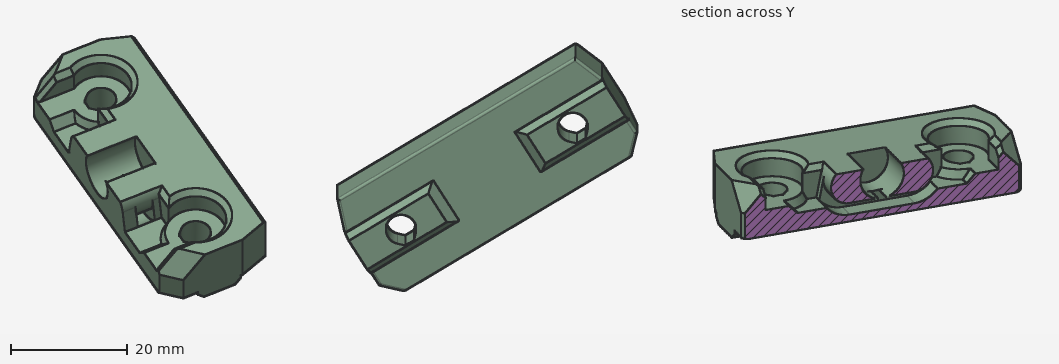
import cadquery as cq
import math

body_length = 52.0
body_width = 20.0
body_height = 9.4
half_length = body_length / 2
half_width = body_width / 2
back_corner_x = 2.0
back_corner_y = 5.5
front_corner = 3.0
back_top_chamfer = 0.5
underside_fillet = 0.5

step_height = 5.0
front_corner_at_top = 7.2

rail_drop = 1.4
rail_width = 8.4
rail_chamfer = 1.2
rail_inner_x = 8.2
rail_inner_x_at_bottom = 9.95

screw_x = 17.3
screw_radius = 2.6
screw_flat_distance = 2.8
bore_radius = 5.25
edge_chamfer = 1.0
bore_floor = step_height

slot_outer_x = 21.6
slot_chamfer_width = 1.15
slot_corner_chamfer = 0.92
pocket_back_y = -2.9

recess_floor = 3.4
recess_step = bore_floor - recess_floor
cone_spread = 0.75
recess_wall_x = 10.3
recess_wall_lean = math.radians(11.3)

groove_radius = 4.0
groove_axis_z = recess_floor + groove_radius
groove_end_y = -0.5

channel_width = 3.3
channel_center_y = -5.85
groove_window_half_width = 0.75
channel_roof = groove_axis_z - math.sqrt(groove_radius**2 - groove_window_half_width**2)
bend_radius = 3.5
bend_axis_z = channel_roof + bend_radius

tangent_z = bend_axis_z + bend_radius * math.sin(recess_wall_lean)
tangent_x = recess_wall_x - (tangent_z - recess_floor) * math.tan(recess_wall_lean)
bend_axis_x = tangent_x - bend_radius * math.cos(recess_wall_lean)

outer_bend_radius = math.hypot(recess_wall_x - bend_axis_x, bend_axis_z - recess_floor)
outer_bend_start = -math.atan2(bend_axis_z - recess_floor, recess_wall_x - bend_axis_x)
channel_floor = bend_axis_z - outer_bend_radius


def bend_point(angle, radius=bend_radius):
    """Point on the left bend, with the angle measured up from the -X direction."""
    x = -bend_axis_x - radius * math.cos(angle)
    z = bend_axis_z + radius * math.sin(angle)
    return x, z


def xz_prism(points, y_front, y_back):
    """Extrude an XZ polygon along Y between two Y positions."""
    profile = cq.Workplane("XZ", origin=(0, y_back, 0)).polyline(points).close()
    return profile.extrude(y_back - y_front)


def both_sides(shape):
    """The left shape together with its mirror image on the right."""
    return shape.union(shape.mirror("YZ"))


def make_body():
    """Block with cut corners, chamfered along the back and rounded underneath except in front."""
    outline = [
        (-half_length, half_width - back_corner_y),
        (-half_length + back_corner_x, half_width),
        (half_length - back_corner_x, half_width),
        (half_length, half_width - back_corner_y),
        (half_length, front_corner - half_width),
        (half_length - front_corner, -half_width),
        (front_corner - half_length, -half_width),
        (-half_length, front_corner - half_width),
    ]
    body = cq.Workplane("XY").polyline(outline).close().extrude(body_height)
    body = body.faces(">Y").edges(">Z").chamfer(back_top_chamfer)
    front_edge = body.faces("<Z").edges("<Y").val()
    rounded_edges = [edge for edge in body.faces("<Z").edges().vals() if not edge.isSame(front_edge)]
    return body.newObject(rounded_edges).fillet(underside_fillet)


def make_rail():
    """Left rail, reaching up into the body past the underside fillet."""
    half_rail = rail_width / 2
    section = [
        (-half_rail, underside_fillet),
        (-half_rail, rail_chamfer - rail_drop),
        (rail_chamfer - half_rail, -rail_drop),
        (half_rail - rail_chamfer, -rail_drop),
        (half_rail, rail_chamfer - rail_drop),
        (half_rail, underside_fillet),
    ]
    rail = (
        cq.Workplane("YZ", origin=(-half_length, 0, 0))
        .polyline(section).close().extrude(half_length)
    )
    side = [
        (-half_length, underside_fillet),
        (-rail_inner_x, underside_fillet),
        (-rail_inner_x, 0),
        (-rail_inner_x_at_bottom, -rail_drop),
        (-half_length, -rail_drop),
    ]
    return rail.intersect(xz_prism(side, -half_rail, half_rail))


def make_corner_slope():
    """Sloped cut on the front left corner, above the step height."""
    def corner_triangle(leg):
        return [
            (-half_length, -half_width),
            (leg - half_length, -half_width),
            (-half_length, leg - half_width),
        ]

    return (
        cq.Workplane("XY", origin=(0, 0, step_height))
        .polyline(corner_triangle(front_corner)).close()
        .workplane(offset=body_height - step_height)
        .polyline(corner_triangle(front_corner_at_top)).close()
        .loft(ruled=True)
    )


def make_screw_hole():
    """Left through hole: a teardrop towards the front face, cut flat before its tip."""
    tangent = screw_radius * math.sqrt(0.5)
    flat_half_width = screw_radius * math.sqrt(2) - screw_flat_distance
    return (
        cq.Workplane("XY", origin=(-screw_x, 0, -rail_drop))
        .moveTo(-tangent, -tangent)
        .threePointArc((0, screw_radius), (tangent, -tangent))
        .lineTo(flat_half_width, -screw_flat_distance)
        .lineTo(-flat_half_width, -screw_flat_distance)
        .close()
        .extrude(rail_drop + body_height)
    )


def make_counterbore():
    """Left counterbore with a chamfered rim."""
    profile = [
        (0, bore_floor),
        (bore_radius, bore_floor),
        (bore_radius, body_height - edge_chamfer),
        (bore_radius + edge_chamfer, body_height),
        (0, body_height),
    ]
    bore = cq.Workplane("XZ").polyline(profile).close().revolve(360, (0, 0), (0, 1))
    return bore.translate((-screw_x, 0, 0))


def make_slot():
    """Left slot from the counterbore to the front face, chamfered along its outer wall."""
    profile = [
        (-screw_x, bore_floor),
        (-slot_outer_x, bore_floor),
        (-slot_outer_x, body_height - edge_chamfer),
        (-slot_outer_x - slot_chamfer_width, body_height),
        (-screw_x, body_height),
    ]
    return xz_prism(profile, -half_width, pocket_back_y)


def make_slot_edge_chamfer():
    """Chamfer along the edge between the slot wall and the sloped corner."""
    rise = (body_height - step_height) / (front_corner_at_top - front_corner)

    def slope_height(x):
        return step_height + (x + half_length - front_corner) * rise

    chamfer_x = -slot_outer_x - slot_corner_chamfer
    peak_z = slope_height(chamfer_x)
    triangle = [
        (chamfer_x, peak_z),
        (-slot_outer_x, peak_z - slot_corner_chamfer),
        (-slot_outer_x, slope_height(-slot_outer_x)),
    ]
    corners = [cq.Vector(x, -half_width, z) for x, z in triangle]
    face = cq.Face.makeFromWires(cq.Wire.makePolygon(corners, close=True))
    run = (body_height + slot_corner_chamfer - peak_z) / rise
    strip = cq.Workplane(cq.Solid.extrudeLinear(face, cq.Vector(0, run, run * rise)))
    below_floor = cq.Workplane("XY").box(body_length, body_width, bore_floor, centered=(True, True, False))
    return strip.cut(below_floor)


def make_recess():
    """Left recess with a leaning, rounded inner wall and a cone left around the counterbore."""
    top_angle = math.asin((body_height - bend_axis_z) / bend_radius)
    profile = (
        cq.Workplane("XZ", origin=(0, pocket_back_y + edge_chamfer, 0))
        .moveTo(-screw_x, bore_floor)
        .lineTo(-screw_x + recess_step, recess_floor)
        .lineTo(-recess_wall_x, recess_floor)
        .lineTo(*bend_point(recess_wall_lean))
        .threePointArc(bend_point((recess_wall_lean + top_angle) / 2), bend_point(top_angle))
        .lineTo(-screw_x, body_height)
        .close()
        .extrude(half_width + pocket_back_y + edge_chamfer)
    )
    back_wall = [
        (-half_width, recess_floor),
        (pocket_back_y, recess_floor),
        (pocket_back_y, body_height - edge_chamfer),
        (pocket_back_y + edge_chamfer, body_height),
        (-half_width, body_height),
    ]
    side = cq.Workplane("YZ", origin=(-half_length, 0, 0)).polyline(back_wall).close()
    recess = profile.intersect(side.extrude(half_length))
    cone_profile = [
        (0, recess_floor),
        (bore_radius + cone_spread, recess_floor),
        (bore_radius, bore_floor),
        (0, bore_floor),
    ]
    cone = cq.Workplane("XZ").polyline(cone_profile).close().revolve(360, (0, 0), (0, 1))
    return recess.cut(cone.translate((-screw_x, 0, 0)))


def make_groove():
    """Round groove, open to the top and front, with a flat end."""
    groove = cq.Workplane("XZ", origin=(0, groove_end_y, 0)).center(0, groove_axis_z)
    return groove.circle(groove_radius).extrude(half_width + groove_end_y)


def make_channel():
    """Left half of the cable tie channel, bending down from the recess to the groove."""
    bottom_angle = -math.pi / 2
    inner_middle = (recess_wall_lean + bottom_angle) / 2
    outer_middle = (outer_bend_start + bottom_angle) / 2
    return (
        cq.Workplane("XZ", origin=(0, channel_center_y + channel_width / 2, 0))
        .moveTo(-recess_wall_x, recess_floor)
        .lineTo(*bend_point(recess_wall_lean))
        .threePointArc(bend_point(inner_middle), bend_point(bottom_angle))
        .lineTo(0, channel_roof)
        .lineTo(0, channel_floor)
        .lineTo(-bend_axis_x, channel_floor)
        .threePointArc(
            bend_point(outer_middle, outer_bend_radius),
            bend_point(outer_bend_start, outer_bend_radius),
        )
        .close()
        .extrude(channel_width)
    )


result = make_body().union(both_sides(make_rail()))
left_cuts = [
    make_corner_slope(),
    make_screw_hole(),
    make_counterbore(),
    make_slot(),
    make_slot_edge_chamfer(),
    make_recess(),
    make_channel(),
]
for left_cut in left_cuts:
    result = result.cut(left_cut).cut(left_cut.mirror("YZ"))
result = result.cut(make_groove())